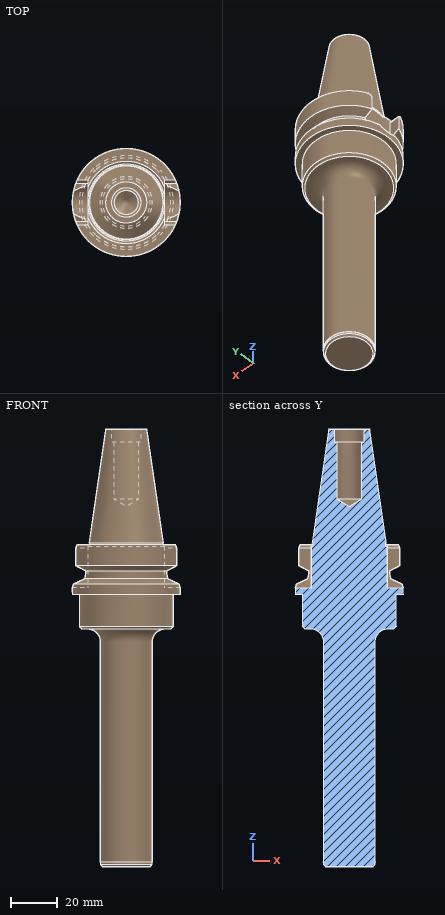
import cadquery as cq
import math

total_length = 186.4
taper_top_radius = 8.8
taper_ratio = 7 / 24

flange_radius = 46.0 / 2
flange_top = 137.2
flange_bottom = 116.0
groove_radius = 19.0
groove_upper_edge = 128.2
groove_lower_edge = 120.5
groove_wall_angle = 30
groove_wall_height = (flange_radius - groove_radius) * math.tan(math.radians(groove_wall_angle))

taper_foot = 138.0
undercut_radius = 31.1 / 2
relief_outer_radius = 17.5
relief_inner_radius = 16.4
relief_depth = 0.7

collar_radius = 40.0 / 2
collar_bottom = 101.2
collar_chamfer = 1.1
shank_radius = 22.2 / 2
neck_fillet = 5.4
tip_radius = 22.0 / 2
tip_length = 2.0
tip_chamfer = 1.0

slot_width = 16.2
slot_floor = 16.2
slot_bottom = 119.0
slot_chamfer = 1.5

bore_radius = 12.5 / 2
bore_depth = 5.5
pilot_radius = 10.3 / 2
pilot_depth = 29.8
drill_angle = 118


def make_body():
    """Revolve the half profile of the whole holder around Z."""
    relief_floor = flange_top - relief_depth
    taper_foot_radius = taper_top_radius + (total_length - taper_foot) * taper_ratio / 2
    neck_radius = shank_radius + neck_fillet
    neck_centre_z = collar_bottom - neck_fillet
    diagonal = neck_fillet * math.sqrt(0.5)
    return (
        cq.Workplane("XZ")
        .moveTo(0, 0)
        .lineTo(tip_radius - tip_chamfer, 0)
        .lineTo(tip_radius, tip_chamfer)
        .lineTo(tip_radius, tip_length)
        .lineTo(shank_radius, tip_length)
        .lineTo(shank_radius, neck_centre_z)
        .threePointArc(
            (neck_radius - diagonal, neck_centre_z + diagonal),
            (neck_radius, collar_bottom),
        )
        .lineTo(collar_radius - collar_chamfer, collar_bottom)
        .lineTo(collar_radius, collar_bottom + collar_chamfer)
        .lineTo(collar_radius, flange_bottom)
        .lineTo(flange_radius, flange_bottom)
        .lineTo(flange_radius, groove_lower_edge)
        .lineTo(groove_radius, groove_lower_edge + groove_wall_height)
        .lineTo(groove_radius, groove_upper_edge - groove_wall_height)
        .lineTo(flange_radius, groove_upper_edge)
        .lineTo(flange_radius, flange_top)
        .lineTo(relief_outer_radius, flange_top)
        .lineTo(relief_inner_radius, relief_floor)
        .lineTo(undercut_radius, relief_floor)
        .lineTo(undercut_radius, taper_foot)
        .lineTo(taper_foot_radius, taper_foot)
        .lineTo(taper_top_radius, total_length)
        .lineTo(0, total_length)
        .close()
        .revolve(360, (0, 0, 0), (0, 1, 0))
    )


def make_slot(side):
    """Round-bottomed drive slot with a chamfered mouth; side is -1 or +1 along X."""
    half_width = slot_width / 2
    mouth_half_width = half_width + slot_chamfer
    arc_centre_z = slot_bottom + half_width
    depth = flange_radius - slot_floor
    return (
        cq.Workplane("YZ", origin=(side * slot_floor, 0, 0))
        .moveTo(-half_width, arc_centre_z)
        .threePointArc((0, slot_bottom), (half_width, arc_centre_z))
        .lineTo(half_width, flange_top - slot_chamfer)
        .lineTo(mouth_half_width, flange_top)
        .lineTo(-mouth_half_width, flange_top)
        .lineTo(-half_width, flange_top - slot_chamfer)
        .close()
        .extrude(side * depth)
    )


def make_bore():
    """Revolve the counterbored pilot hole with its conical drill point."""
    pilot_bottom = total_length - pilot_depth
    bore_bottom = total_length - bore_depth
    point_height = pilot_radius / math.tan(math.radians(drill_angle / 2))
    return (
        cq.Workplane("XZ")
        .moveTo(0, total_length)
        .lineTo(bore_radius, total_length)
        .lineTo(bore_radius, bore_bottom)
        .lineTo(pilot_radius, bore_bottom)
        .lineTo(pilot_radius, pilot_bottom)
        .lineTo(0, pilot_bottom - point_height)
        .close()
        .revolve(360, (0, 0, 0), (0, 1, 0))
    )


result = make_body().cut(make_bore())
for side in (-1, 1):
    result = result.cut(make_slot(side))